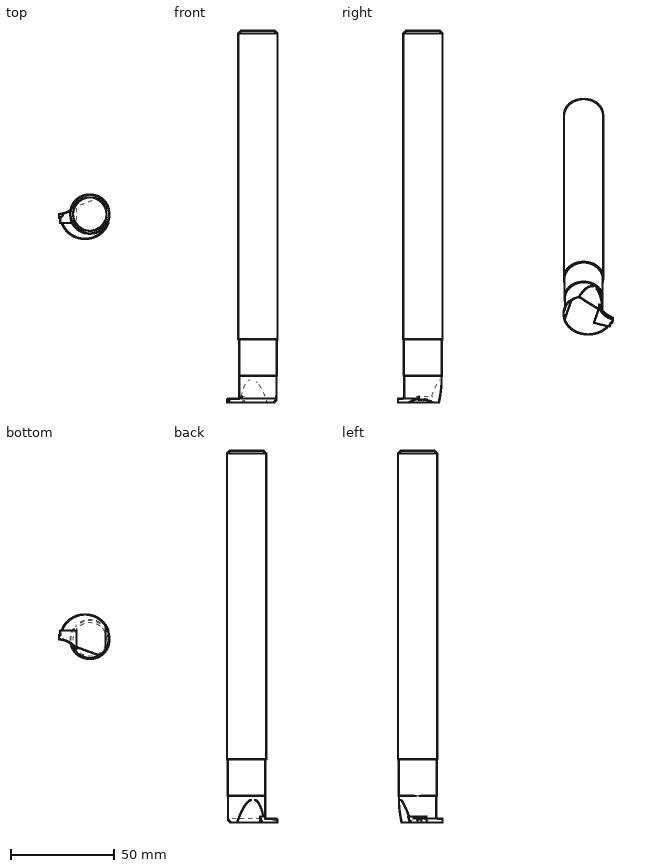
import cadquery as cq
import math


total_height = 180.0
shank_radius = 9.5
top_chamfer = 1.5
collar_bottom = 13.1
collar_top = 30.8
shoulder_taper = 0.27
flat_depth = 0.5
flat_offset = shank_radius - flat_depth
collar_flat_width = 4.3
neck_flat_width = 2.2
collar_radius = math.hypot(flat_offset, collar_flat_width / 2)
neck_radius = math.hypot(flat_offset, neck_flat_width / 2)

blade_thickness = 2.0
blade_radius = 12.0
blade_center_x = -2.3
blade_back_y = -1.8
blade_fillet = 0.9
end_relief = 1.5

clearance_turn = 20.0
clearance_tilt = 16.4
clearance_start_y = 6.1

cutter_size = 54.0

seat_height = blade_thickness + blade_fillet
seat_wall_x = -6.5
seat_wall_y = -4.3
insert_back_y = 4.7
gullet_mid = (-9.7, 1.6)
gullet_front = (-13.0, 0.4)
insert_outer_x = -14.4
tip_x = -15.0
tip_back_y = 0.0
tip_front_y = -2.0
tip_land_inner = (-13.0, -0.5)
tip_land_drop = 0.4


def cylinder(radius, bottom, top):
    return cq.Workplane("XY").workplane(offset=bottom).circle(radius).extrude(top - bottom)


def make_shank():
    """Stepped shaft with tapered shoulders and one flat along its two smaller steps."""
    shaft = (
        cq.Workplane("XZ")
        .lineTo(neck_radius, 0)
        .lineTo(neck_radius, collar_bottom - shoulder_taper)
        .lineTo(collar_radius, collar_bottom)
        .lineTo(collar_radius, collar_top - shoulder_taper)
        .lineTo(shank_radius, collar_top)
        .lineTo(shank_radius, total_height - top_chamfer)
        .lineTo(shank_radius - top_chamfer, total_height)
        .lineTo(0, total_height)
        .close()
        .revolve(360, (0, 0, 0), (0, 1, 0))
    )
    beside_flat = (
        cq.Workplane("XY")
        .box(cutter_size, cutter_size, collar_top - shoulder_taper, centered=(False, True, False))
        .translate((-flat_offset - cutter_size, 0, 0))
    )
    return shaft.cut(beside_flat)


def make_blade():
    """Front part of an eccentric disc, with a concave fillet ring against the neck."""
    disc = cylinder(blade_radius, 0, blade_thickness).translate((blade_center_x, 0, 0))
    fillet_ring = (
        cq.Workplane("XZ")
        .moveTo(0, blade_thickness)
        .lineTo(neck_radius + blade_fillet, blade_thickness)
        .radiusArc((neck_radius, seat_height), blade_fillet)
        .lineTo(0, seat_height)
        .close()
        .revolve(360, (0, 0, 0), (0, 1, 0))
    )
    above_disc = cylinder(blade_radius, 0, seat_height).translate((blade_center_x, 0, 0))
    front_part = (
        cq.Workplane("XY")
        .box(neck_radius + cutter_size, cutter_size, cutter_size, centered=(False, False, True))
        .translate((-cutter_size, blade_back_y - cutter_size, 0))
    )
    return disc.union(fillet_ring.intersect(above_disc)).intersect(front_part)


def end_relief_cut():
    """Wedge that bevels the foot on its +X side."""
    return (
        cq.Workplane("XZ")
        .moveTo(neck_radius, end_relief)
        .lineTo(neck_radius - end_relief, 0)
        .lineTo(neck_radius, 0)
        .close()
        .extrude(cutter_size / 2, both=True)
    )


def clearance_cut():
    """Block whose tilted face slopes the back of the foot."""
    return (
        cq.Workplane("XY")
        .box(cutter_size, cutter_size, cutter_size, centered=(True, False, True))
        .rotate((0, 0, 0), (1, 0, 0), -clearance_tilt)
        .rotate((0, 0, 0), (0, 0, 1), clearance_turn)
        .translate((0, clearance_start_y, 0))
    )


def make_insert():
    """Insert with a thin overhanging tip and a taller root inside the neck."""
    plate = (
        cq.Workplane("XY")
        .moveTo(seat_wall_x, seat_wall_y)
        .lineTo(seat_wall_x, insert_back_y)
        .threePointArc(gullet_mid, gullet_front)
        .lineTo(tip_x, tip_back_y)
        .lineTo(tip_x, tip_front_y)
        .lineTo(insert_outer_x, tip_front_y)
        .lineTo(insert_outer_x, seat_wall_y)
        .close()
        .extrude(seat_height)
    )
    above_overhang = (
        cq.Workplane("XY")
        .box(cutter_size, cutter_size, seat_height, centered=(False, True, False))
        .translate((-flat_offset - cutter_size, 0, blade_thickness))
    )
    tip_land = (
        cq.Workplane("XY")
        .workplane(offset=blade_thickness - tip_land_drop)
        .moveTo(*gullet_front)
        .lineTo(*tip_land_inner)
        .lineTo(insert_outer_x, tip_front_y)
        .lineTo(tip_x, tip_front_y)
        .lineTo(tip_x, tip_back_y)
        .close()
        .extrude(tip_land_drop)
    )
    return plate.cut(above_overhang).cut(tip_land)


def seat_cut():
    """Open pocket that holds the insert and clears the blade beside it."""
    return (
        cq.Workplane("XY")
        .box(cutter_size, cutter_size, seat_height, centered=(False, False, False))
        .translate((seat_wall_x - cutter_size, seat_wall_y, 0))
    )


bar = make_shank().union(make_blade()).cut(end_relief_cut()).cut(clearance_cut()).cut(seat_cut())
insert = make_insert().cut(clearance_cut())

result = cq.Compound.makeCompound([bar.val(), insert.val()])